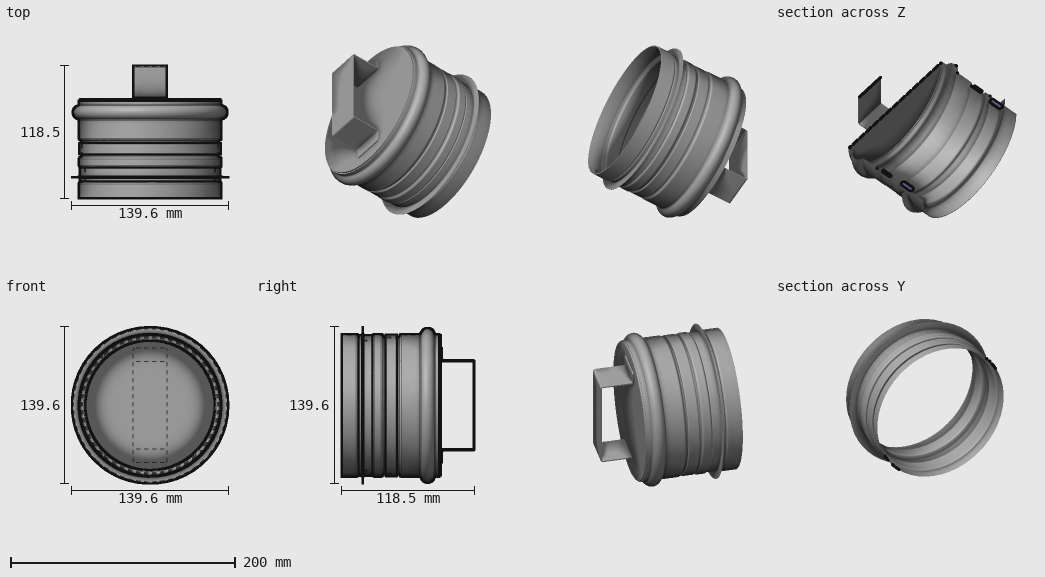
import cadquery as cq
import math


pipe_radius = 63.7
pipe_bore_radius = 125.6 / 2
pipe_length = 87.1
wall = pipe_radius - pipe_bore_radius

groove_crest_radius = 2.0
groove_root_radius = groove_crest_radius - wall
groove_wall_angle = math.radians(80)
front_groove_floor_radius = 58.4
front_groove_start = 13.0
front_groove_end = 29.5
rear_groove_floor_radius = 122.0 / 2
rear_groove_start = 35.0
rear_groove_end = 53.5

bead_middle = 76.6
bead_center_radius = 62.8
bead_radius = 6.3
bead_blend_radius = 1.1

seal_radius = 125.6 / 2
seal_start = 15.1
seal_end = 27.4
lip_radius = 139.6 / 2
lip_middle = 18.8
lip_root_thickness = 1.0
lip_tip_thickness = 0.3

ring_radius = 126.6 / 2
ring_start = 39.1
ring_end = 49.4

band_edge_radius = 0.8

cap_radius = 125.2 / 2
cap_back = 88.5
cap_thickness = 1.0
cap_depth = 2.0

handle_width = 30.0
handle_thickness = 1.1
handle_back = 118.5
handle_half_height = 40.2
foot_half_span = 51.0
handle_inner_bend = 0.8
handle_outer_bend = handle_inner_bend + handle_thickness
foot_corner_radius = 2.0


def revolve_about_y(profile):
    """Revolve an open profile, drawn with X as the radius, after closing it."""
    return profile.close().revolve(360, (0, 0, 0), (0, 1, 0))


def ring_body(inner_radius, outer_radius, start, end):
    corners = [
        (inner_radius, start),
        (outer_radius, start),
        (outer_radius, end),
        (inner_radius, end),
    ]
    return revolve_about_y(cq.Workplane("XY").polyline(corners))


def disc_body(radius, start, end):
    return cq.Workplane("XZ", origin=(0, start, 0)).circle(radius).extrude(start - end)


def on_arc(center, radius, angle):
    """Point of a circle; the angle runs from +X toward +Y."""
    return (center[0] + radius * math.cos(angle), center[1] + radius * math.sin(angle))


def add_arc(profile, center, radius, from_angle, to_angle):
    """Line to the arc's first point, unless already there, and then the arc."""
    first = cq.Vector(*on_arc(center, radius, from_angle))
    current = profile._findFromPoint(False)
    if (current - first).Length > 1.4e-06:
        profile = profile.lineTo(first.x, first.y)
    middle = on_arc(center, radius, (from_angle + to_angle) / 2)
    return profile.threePointArc(middle, on_arc(center, radius, to_angle))


def add_groove(profile, start, end, floor_radius, inset):
    """Add a groove with S-shaped walls, `inset` below the pipe's outer surface."""
    tilt = groove_wall_angle
    crest_center = pipe_radius - groove_crest_radius
    root_center = floor_radius + groove_root_radius
    crest_arc = groove_crest_radius - inset
    root_arc = groove_root_radius + inset

    both_arcs = groove_crest_radius + groove_root_radius
    slope_drop = crest_center - root_center + both_arcs * math.cos(tilt)
    wall_length = both_arcs * math.sin(tilt) + slope_drop / math.tan(tilt)
    floor_start = start + wall_length
    floor_end = end - wall_length

    profile = add_arc(profile, (crest_center, start), crest_arc, 0, tilt)
    profile = add_arc(profile, (root_center, floor_start), root_arc, math.pi + tilt, math.pi)
    profile = add_arc(profile, (root_center, floor_end), root_arc, math.pi, math.pi - tilt)
    return add_arc(profile, (crest_center, end), crest_arc, -tilt, 0)


def add_bead(profile, inset):
    """Add the round bead and its two blends, `inset` below the pipe's outer surface."""
    blend_center_radius = pipe_radius + bead_blend_radius
    rise = blend_center_radius - bead_center_radius
    reach = math.sqrt((bead_radius + bead_blend_radius) ** 2 - rise**2)
    tangent = math.atan2(reach, rise)
    front_center = (blend_center_radius, bead_middle - reach)
    rear_center = (blend_center_radius, bead_middle + reach)
    blend_arc = bead_blend_radius + inset
    bead_arc = bead_radius - inset

    profile = add_arc(profile, front_center, blend_arc, math.pi, math.pi - tangent)
    profile = add_arc(profile, (bead_center_radius, bead_middle), bead_arc, -tangent, tangent)
    return add_arc(profile, rear_center, blend_arc, math.pi + tangent, math.pi)


def pipe_envelope(inset):
    """Solid bounded by the pipe surface that lies `inset` below the outer one."""
    radius = pipe_radius - inset
    profile = cq.Workplane("XY").lineTo(radius, 0)
    profile = add_groove(
        profile, front_groove_start, front_groove_end, front_groove_floor_radius, inset
    )
    profile = add_groove(
        profile, rear_groove_start, rear_groove_end, rear_groove_floor_radius, inset
    )
    profile = add_bead(profile, inset)
    profile = profile.lineTo(radius, pipe_length).lineTo(0, pipe_length)
    return revolve_about_y(profile)


def make_pipe():
    return pipe_envelope(0).cut(pipe_envelope(wall))


def rounded_band(inner_radius, outer_radius, start, end):
    band = ring_body(inner_radius, outer_radius, start, end)
    outer_edges = band.edges(cq.selectors.RadiusNthSelector(-1))
    return outer_edges.fillet(band_edge_radius)


def make_lip_seal():
    """Band that fills the front groove, with a thin tapered lip around it."""
    inner_radius = front_groove_floor_radius - wall
    half_root = lip_root_thickness / 2
    half_tip = lip_tip_thickness / 2
    lip_section = [
        (inner_radius, lip_middle - half_root),
        (seal_radius, lip_middle - half_root),
        (lip_radius, lip_middle - half_tip),
        (lip_radius, lip_middle + half_tip),
        (seal_radius, lip_middle + half_root),
        (inner_radius, lip_middle + half_root),
    ]
    lip = revolve_about_y(cq.Workplane("XY").polyline(lip_section))
    band = rounded_band(inner_radius, seal_radius, seal_start, seal_end)
    return band.union(lip).cut(pipe_envelope(0))


def make_clamp_ring():
    return rounded_band(rear_groove_floor_radius, ring_radius, ring_start, ring_end)


def make_cap():
    """Shallow cup whose rim points into the pipe."""
    cup = disc_body(cap_radius, cap_back - cap_depth, cap_back)
    hollow = disc_body(cap_radius - cap_thickness, cap_back - cap_depth, cap_back - cap_thickness)
    return cup.cut(hollow)


def strap_edges(y, z):
    """Select the bend edge that runs along X through the given point."""
    reach = 0.01
    return cq.selectors.BoxSelector(
        (-handle_width, y - reach, z - reach), (handle_width, y + reach, z + reach)
    )


def make_handle():
    """Bent strap: two feet on the cap, two legs and a grip."""
    outer_leg = handle_half_height
    inner_leg = handle_half_height - handle_thickness
    foot_back = cap_back + handle_thickness
    grip_front = handle_back - handle_thickness

    upper_half = [
        (grip_front, inner_leg),
        (cap_back, inner_leg),
        (cap_back, foot_half_span),
        (foot_back, foot_half_span),
        (foot_back, outer_leg),
        (handle_back, outer_leg),
    ]
    lower_half = [(y, -z) for y, z in reversed(upper_half)]
    section = cq.Workplane("YZ").polyline(upper_half + lower_half).close()
    strap = section.extrude(handle_width / 2, both=True)

    bends = [
        (handle_back, outer_leg, handle_outer_bend),
        (grip_front, inner_leg, handle_inner_bend),
        (cap_back, inner_leg, handle_outer_bend),
        (foot_back, outer_leg, handle_inner_bend),
    ]
    for side in (1, -1):
        for y, z, radius in bends:
            strap = strap.edges(strap_edges(y, side * z)).fillet(radius)
    return strap.faces("<Z or >Z").edges("|Y").fillet(foot_corner_radius)


pipe = make_pipe()
lip_seal = make_lip_seal()
clamp_ring = make_clamp_ring()
cap = make_cap()
handle = make_handle()

result = cq.Compound.makeCompound(
    [pipe.val(), lip_seal.val(), clamp_ring.val(), cap.val(), handle.val()]
)